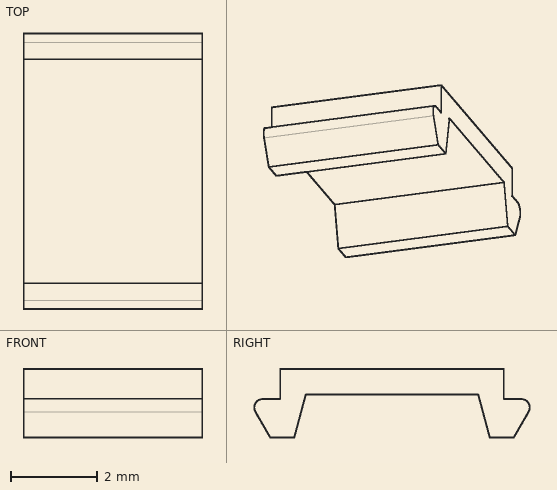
import cadquery as cq
import math

length = 4.15
overall_width = 6.4
height = 1.6

plate_width = 5.2
plate_thickness = 0.6
ledge_depth = 0.7
channel_width = 4.0
inner_draft = 15.0
outer_slope = 30.0
lip_radius = 0.2

plate_bottom_z = height - plate_thickness
ledge_z = height - ledge_depth

lip_center_y = overall_width / 2 - lip_radius
lip_center_z = ledge_z - lip_radius
slope_angle = math.radians(outer_slope)
lip_end_y = lip_center_y + lip_radius * math.cos(slope_angle)
lip_end_z = lip_center_z - lip_radius * math.sin(slope_angle)

foot_outer_y = lip_end_y - lip_end_z * math.tan(slope_angle)
foot_inner_y = channel_width / 2 + plate_bottom_z * math.tan(math.radians(inner_draft))


def half_profile():
    """Closed YZ section of the +Y half, extruded symmetrically along X."""
    return (
        cq.Workplane("YZ")
        .moveTo(0, height)
        .lineTo(plate_width / 2, height)
        .lineTo(plate_width / 2, ledge_z)
        .lineTo(lip_center_y, ledge_z)
        .threePointArc((overall_width / 2, lip_center_z), (lip_end_y, lip_end_z))
        .lineTo(foot_outer_y, 0)
        .lineTo(foot_inner_y, 0)
        .lineTo(channel_width / 2, plate_bottom_z)
        .lineTo(0, plate_bottom_z)
        .close()
        .extrude(length / 2, both=True)
    )


half = half_profile()
result = half.union(half.mirror("XZ")).clean()